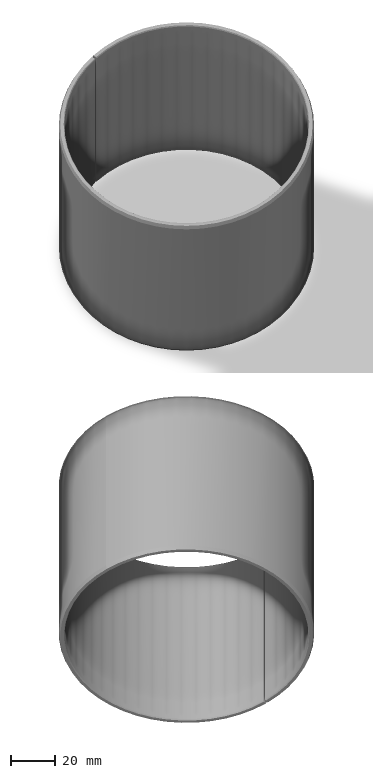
import cadquery as cq

outer_diameter = 115.0
wall = 2.5
length = 95.0
slit_width = 0.9

chamfer_height = 1.7
chamfer_depth = 0.7

bore_chamfer_height = 0.6
bore_chamfer_depth = 0.3

outer_radius = outer_diameter / 2
inner_radius = outer_radius - wall
half_length = length / 2


def sleeve():
    """Wall profile, chamfered at all four corners, revolved about Z."""
    profile = [
        (inner_radius + bore_chamfer_depth, -half_length),
        (outer_radius - chamfer_depth, -half_length),
        (outer_radius, -half_length + chamfer_height),
        (outer_radius, half_length - chamfer_height),
        (outer_radius - chamfer_depth, half_length),
        (inner_radius + bore_chamfer_depth, half_length),
        (inner_radius, half_length - bore_chamfer_height),
        (inner_radius, -half_length + bore_chamfer_height),
    ]
    return cq.Workplane("XZ").polyline(profile).close().revolve(360, (0, 0), (0, 1))


def slit():
    """Full-length cutter through the -X wall, with one face on the XZ plane."""
    cutter = cq.Workplane("XY").box(outer_radius, slit_width, length)
    return cutter.translate((-outer_radius, slit_width / 2, 0))


result = sleeve().cut(slit())